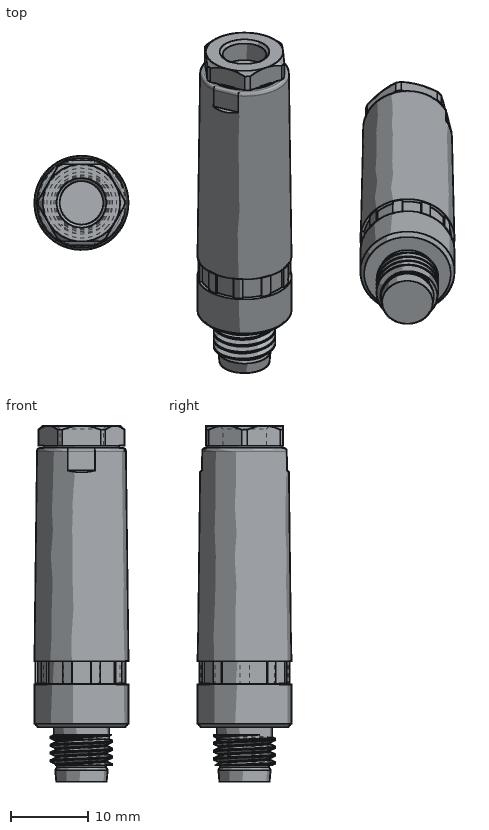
import cadquery as cq
import math

tip_widest = 1.5
tip_top = 1.9
thread_bottom = 2.15
shank_bottom = 5.5
thread_top = 6.05
collar_bottom = 7.05
collar_top = 12.6
rib_bottom = 12.7
body_bottom = 15.6
body_top = 43.15
nut_bottom = 43.42
nut_top = 46.0

tip_end_radius = 3.25
tip_radius = 3.4
undercut_radius = 6.4 / 2
shank_radius = 7.2 / 2
thread_major_radius = 4.0
thread_root_radius = 3.3
thread_pitch = 1.0
thread_crest_width = 0.2
thread_base_width = 0.85
thread_start = 1.2
thread_turns = 6
root_overlap = 0.15

collar_radius = 12.2 / 2
collar_chamfer = 0.5
gap_radius = 4.5
groove_radius = 5.7
rib_radius = 12.0 / 2
rib_count = 10
rib_angle = 12.0

body_bottom_radius = 12.2 / 2
body_top_radius = 5.75
body_fillet = 0.45
pocket_flat_distance = 5.47
pocket_width = 3.5
pocket_bottom = 40.25
pocket_wall_angle = 40.0

neck_radius = 9.8 / 2
nut_across_flats = 10.0
nut_corner_radius = 11.15 / 2
nut_top_radius = nut_across_flats / 2
nut_chamfer_height = 0.5
bore_radius = 5.6 / 2
bore_mouth_radius = 6.4 / 2
bore_floor = 43.15


def cylinder(radius, bottom, top):
    return cq.Workplane("XY").workplane(offset=bottom).circle(radius).extrude(top - bottom)


def make_tip():
    """Tapered plug tip with an undercut below the thread."""
    return (
        cq.Workplane("XZ")
        .moveTo(0, 0)
        .lineTo(tip_end_radius, 0)
        .lineTo(tip_radius, tip_widest)
        .lineTo(undercut_radius, tip_top)
        .lineTo(undercut_radius, thread_bottom)
        .lineTo(0, thread_bottom)
        .close()
        .revolve(360, (0, 0), (0, 1))
    )


def make_thread(core_radius, bottom, top):
    """Length of right-hand thread on a core, trimmed square at both ends."""
    inner_radius = thread_root_radius - root_overlap
    thread_depth = thread_major_radius - thread_root_radius
    flank_slope = (thread_base_width - thread_crest_width) / 2 / thread_depth
    half_crest = thread_crest_width / 2
    half_inner = thread_base_width / 2 + root_overlap * flank_slope
    helix = cq.Wire.makeHelix(thread_pitch, thread_turns * thread_pitch, thread_root_radius)
    ridge = (
        cq.Workplane("XZ")
        .polyline([
            (inner_radius, -half_inner),
            (thread_major_radius, -half_crest),
            (thread_major_radius, half_crest),
            (inner_radius, half_inner),
        ])
        .close()
        .sweep(cq.Workplane(helix), isFrenet=True)
        .translate((0, 0, thread_start))
    )
    ridge_end = thread_start + thread_turns * thread_pitch
    core = cylinder(core_radius, thread_start - thread_pitch, ridge_end + thread_pitch)
    trimming_slab = cylinder(collar_radius, bottom, top)
    return core.union(ridge, clean=False).intersect(trimming_slab, clean=False)


def make_collar():
    collar = cylinder(collar_radius, collar_bottom, collar_top)
    return collar.faces("<Z").chamfer(collar_chamfer)


def make_grip():
    """Grooved ring whose evenly spaced ribs leave out the place on +X."""
    gap_core = cylinder(gap_radius, collar_top, rib_bottom)
    grip = cylinder(groove_radius, rib_bottom, body_bottom)
    half_angle = math.radians(rib_angle / 2)
    across = math.cos(half_angle)
    aside = math.sin(half_angle)
    rib = (
        cq.Workplane("XY")
        .workplane(offset=rib_bottom)
        .moveTo(gap_radius * across, -gap_radius * aside)
        .lineTo(rib_radius * across, -rib_radius * aside)
        .threePointArc((rib_radius, 0), (rib_radius * across, rib_radius * aside))
        .lineTo(gap_radius * across, gap_radius * aside)
        .close()
        .extrude(body_bottom - rib_bottom)
    )
    for index in range(1, rib_count):
        grip = grip.union(rib.rotate((0, 0, 0), (0, 0, 1), index * 360 / rib_count))
    return gap_core.union(grip)


def make_pocket_cutter():
    """Cutter for the front pocket: a flat with leaning walls and a rounded upper edge."""
    depth = body_bottom_radius - pocket_flat_distance
    height = body_top - pocket_bottom
    flat = (
        cq.Workplane("XZ", origin=(0, -pocket_flat_distance, pocket_bottom + height / 2))
        .rect(pocket_width, height)
        .extrude(depth, taper=-pocket_wall_angle)
    )
    arc_centre_y = -pocket_flat_distance + body_fillet
    arc_centre_z = body_top - body_fillet
    arc_offset = body_fillet * math.sqrt(0.5)
    rounded_edge = (
        cq.Workplane("YZ")
        .moveTo(-pocket_flat_distance, arc_centre_z)
        .threePointArc(
            (arc_centre_y - arc_offset, arc_centre_z + arc_offset),
            (arc_centre_y, body_top),
        )
        .lineTo(-body_bottom_radius, body_top)
        .lineTo(-body_bottom_radius, arc_centre_z)
        .close()
        .extrude(pocket_width / 2, both=True)
    )
    return flat.union(rounded_edge)


def make_body():
    body = (
        cq.Workplane("XZ")
        .moveTo(0, body_bottom)
        .lineTo(body_bottom_radius, body_bottom)
        .lineTo(body_top_radius, body_top)
        .lineTo(0, body_top)
        .close()
        .revolve(360, (0, 0), (0, 1))
        .faces(">Z")
        .edges()
        .fillet(body_fillet)
    )
    pocket = make_pocket_cutter()
    return body.cut(pocket).cut(pocket.rotate((0, 0, 0), (0, 0, 1), 180))


def make_nut():
    """Hexagonal nut on its neck: flats on the front and back, rounded corners, chamfered top."""
    hexagon = (
        cq.Workplane("XY")
        .workplane(offset=nut_bottom)
        .polygon(6, nut_across_flats, circumscribed=True)
        .extrude(nut_top - nut_bottom)
        .rotate((0, 0, 0), (0, 0, 1), 30)
    )
    blank = (
        cylinder(nut_corner_radius, nut_bottom, nut_top)
        .faces(">Z")
        .chamfer(nut_chamfer_height, nut_corner_radius - nut_top_radius)
    )
    neck = cylinder(neck_radius, body_top, nut_bottom)
    return hexagon.intersect(blank).union(neck)


def make_bore():
    """Blind bore with a 45 degree countersunk mouth."""
    mouth_depth = bore_mouth_radius - bore_radius
    return (
        cq.Workplane("XZ")
        .moveTo(0, bore_floor)
        .lineTo(bore_radius, bore_floor)
        .lineTo(bore_radius, nut_top - mouth_depth)
        .lineTo(bore_mouth_radius, nut_top)
        .lineTo(0, nut_top)
        .close()
        .revolve(360, (0, 0), (0, 1))
    )


lower_thread = make_thread(thread_root_radius, thread_bottom, shank_bottom)
upper_thread = make_thread(shank_radius, shank_bottom, thread_top)
plain_shank = cylinder(shank_radius, thread_top, collar_bottom)
plug = lower_thread.union(upper_thread).union(plain_shank).union(make_tip())
housing = make_collar().union(make_grip()).union(make_body()).union(make_nut()).cut(make_bore())
result = housing.union(plug)